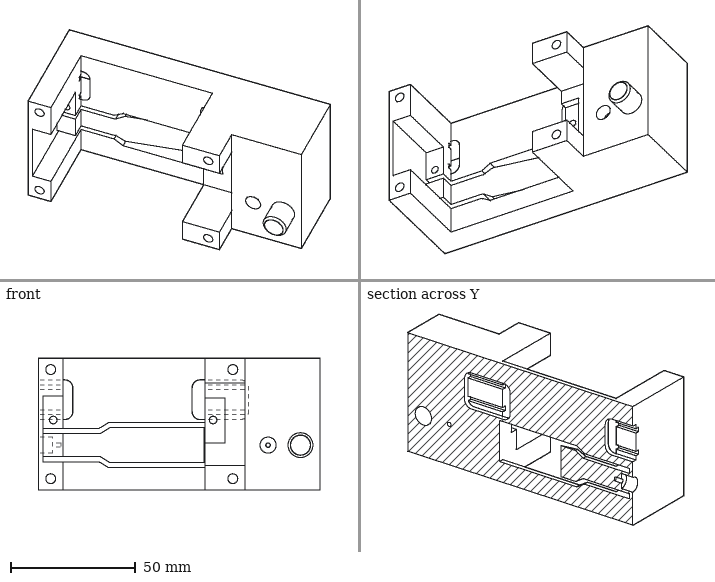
import cadquery as cq


LENGTH = 113
DEPTH = 44.0
HEIGHT = 53.0
PLATE_REACH = 12.0
ARM_WIDTH = 10.0
BLOCK_LEFT = 66.8
BLOCK_RIGHT = 82.8
END_REACH = 31.0

RECESS_REACH = 21.2
POCKET_REACH = 18.0
SIDE_WALL = 1.9
LEFT_POCKET_TOP = 37.9
RIGHT_POCKET_RIGHT = 74.9
RIGHT_POCKET_BOTTOM = 18.9
RIGHT_POCKET_TOP = 37.0

WINDOW_WIDTH = 22.6
WINDOW_HEIGHT = 15.8
WINDOW_CORNER = 3.2
WINDOW_Z = 36.3
LEFT_WINDOW_INNER = 13.8
RIGHT_WINDOW_INNER = 61.7
SNAP_WIDTH = 1.9
SNAP_SPACING = 10.1
SNAP_DEPTH = 1.7

AXIS_Z = 18.1
CHANNEL_FLOOR_REACH = 2.0
NARROW_HALF = 6.7
WIDE_HALF = 9
NECK_START = 24.3
NECK_END = 28.1
RIM_GAP = 2.0
NECK_SHIFT = 0.6
TONGUE_END = 66.5
TONGUE_LOW_REACH = 6.8
SLOPE_START = 24.0
SLOPE_END = 55.8

CORNER_SCREW_XS = (5.0, 78)
CORNER_SCREW_INSET = 4.6
CORNER_SCREW_DIAMETER = 4.0
CORNER_SCREW_DEPTH = 10.2
POCKET_SCREW_XS = (6.0, 70.1)
POCKET_SCREW_Z = 28.1
POCKET_SCREW_DIAMETER = 3.0
POCKET_SCREW_DEPTH = 2.8
DRILL_POINT_RATIO = 0.3

BORE_DIAMETER = 6.4
BORE_DEPTH = 5.6
PILOT_DIAMETER = 1.7
FRONT_BORE_X = 92.1
SIDE_BORE_REACH = 10.0
SIDE_PILOT_DEPTH = 3.4

TUBE_X = 105.1
TUBE_REACH = 40.9
TUBE_DIAMETER = 10.0
TUBE_BORE = 7.9
TUBE_CHAMFER = 0.9


def at_reach(reach):
    """Workplane parallel to the back face, extruding toward the front."""
    return cq.Workplane("XZ", origin=(0, -reach, 0))


def block(x_range, reach_range, z_range):
    """Box given by its limits along X, in reach and along Z."""
    (x0, x1), (r0, r1), (z0, z1) = x_range, reach_range, z_range
    corners = [(x0, z0), (x1, z0), (x1, z1), (x0, z1)]
    return at_reach(r0).polyline(corners).close().extrude(r1 - r0)


def body():
    """Back plate with the left arm, the right block and the thick right end."""
    outline = [
        (0, 0),
        (LENGTH, 0),
        (LENGTH, -END_REACH),
        (BLOCK_RIGHT, -END_REACH),
        (BLOCK_RIGHT, -DEPTH),
        (BLOCK_LEFT, -DEPTH),
        (BLOCK_LEFT, -PLATE_REACH),
        (ARM_WIDTH, -PLATE_REACH),
        (ARM_WIDTH, -DEPTH),
        (0, -DEPTH),
    ]
    return cq.Workplane("XY").polyline(outline).close().extrude(HEIGHT)


def arm_pockets():
    """Recess that forks the right block, with a deeper step, and the pocket in the left arm."""
    recess = block(
        (BLOCK_LEFT, BLOCK_RIGHT), (RECESS_REACH, DEPTH), (ARM_WIDTH, HEIGHT - ARM_WIDTH)
    )
    right_step = block(
        (BLOCK_LEFT, RIGHT_POCKET_RIGHT),
        (POCKET_REACH, RECESS_REACH),
        (RIGHT_POCKET_BOTTOM, RIGHT_POCKET_TOP),
    )
    left_pocket = block(
        (SIDE_WALL, ARM_WIDTH), (POCKET_REACH, DEPTH), (AXIS_Z - NARROW_HALF, LEFT_POCKET_TOP)
    )
    return recess.union(right_step).union(left_pocket)


def window(x):
    """Rounded opening centred on x, with two snap grooves just in front of the plate."""

    def prism(length):
        return (
            at_reach(0).center(x, WINDOW_Z).rect(WINDOW_WIDTH, WINDOW_HEIGHT)
            .extrude(length).edges("|Y").fillet(WINDOW_CORNER)
        )

    snap_front = PLATE_REACH + SNAP_DEPTH
    grooves = (
        at_reach(PLATE_REACH).center(x, WINDOW_Z).rarray(1.1, SNAP_SPACING, 1, 2)
        .rect(WINDOW_WIDTH, SNAP_WIDTH).extrude(SNAP_DEPTH)
        .intersect(prism(snap_front))
    )
    return prism(PLATE_REACH).union(grooves)


def stepped_prism(inset, neck_shift, right_end, reach_range):
    """Bottle-shaped prism about the channel axis, narrow on the left and wide on the right."""
    narrow = NARROW_HALF - inset
    wide = WIDE_HALF - inset
    upper = [
        (SIDE_WALL, narrow),
        (NECK_START + neck_shift, narrow),
        (NECK_END + neck_shift, wide),
        (right_end, wide),
    ]
    lower = [(x, -z) for x, z in reversed(upper)]
    start, end = reach_range
    return at_reach(start).center(0, AXIS_Z).polyline(upper + lower).close().extrude(end - start)


def channel():
    """Channel around the tongue; inside the left arm it opens into the arm pocket."""
    return stepped_prism(0, 0, BLOCK_LEFT, (CHANNEL_FLOOR_REACH, POCKET_REACH))


def tongue():
    """Tongue rising from the channel floor, its front sloping down toward the right."""
    profile = [
        (SIDE_WALL, -CHANNEL_FLOOR_REACH),
        (TONGUE_END, -CHANNEL_FLOOR_REACH),
        (TONGUE_END, -TONGUE_LOW_REACH),
        (SLOPE_END, -TONGUE_LOW_REACH),
        (SLOPE_START, -PLATE_REACH),
        (ARM_WIDTH, -PLATE_REACH),
        (ARM_WIDTH, -POCKET_REACH),
        (SIDE_WALL, -POCKET_REACH),
    ]
    side_shape = cq.Workplane("XY").polyline(profile).close().extrude(HEIGHT)
    front_shape = stepped_prism(RIM_GAP, NECK_SHIFT, TONGUE_END, (CHANNEL_FLOOR_REACH, POCKET_REACH))
    return side_shape.intersect(front_shape)


def drilled_hole(x, z, reach, diameter, depth):
    """Blind hole drilled from the given reach toward the back, ending in a cone."""
    radius = diameter / 2
    bottom = depth + DRILL_POINT_RATIO * diameter
    return (
        cq.Workplane("XY", origin=(x, -reach, z))
        .polyline([(0, 0), (radius, 0), (radius, depth), (0, bottom)]).close()
        .revolve(360, (0, 0), (0, 1))
    )


def counterbores():
    """Front hole through the right end and blind side hole in the left arm."""
    front_pilot = (
        at_reach(0).center(FRONT_BORE_X, AXIS_Z).circle(PILOT_DIAMETER / 2).extrude(END_REACH)
    )
    front_bore = (
        at_reach(END_REACH - BORE_DEPTH).center(FRONT_BORE_X, AXIS_Z)
        .circle(BORE_DIAMETER / 2).extrude(BORE_DEPTH)
    )
    side_plane = cq.Workplane("YZ").center(-SIDE_BORE_REACH, AXIS_Z)
    side_bore = side_plane.circle(BORE_DIAMETER / 2).extrude(BORE_DEPTH)
    side_pilot = side_plane.circle(PILOT_DIAMETER / 2).extrude(BORE_DEPTH + SIDE_PILOT_DEPTH)
    return front_pilot.union(front_bore).union(side_bore).union(side_pilot)


def tube():
    """Tube standing on the front of the right end, chamfered at its tip."""
    return (
        at_reach(END_REACH).center(TUBE_X, AXIS_Z).circle(TUBE_DIAMETER / 2)
        .extrude(TUBE_REACH - END_REACH).faces("<Y").chamfer(TUBE_CHAMFER)
    )


result = body().cut(arm_pockets()).cut(channel()).union(tongue()).union(tube())

for window_x in (LEFT_WINDOW_INNER - WINDOW_WIDTH / 2, RIGHT_WINDOW_INNER + WINDOW_WIDTH / 2):
    result = result.cut(window(window_x))

for screw_x in CORNER_SCREW_XS:
    for screw_z in (CORNER_SCREW_INSET, HEIGHT - CORNER_SCREW_INSET):
        result = result.cut(
            drilled_hole(screw_x, screw_z, DEPTH, CORNER_SCREW_DIAMETER, CORNER_SCREW_DEPTH)
        )

for screw_x in POCKET_SCREW_XS:
    result = result.cut(
        drilled_hole(screw_x, POCKET_SCREW_Z, POCKET_REACH, POCKET_SCREW_DIAMETER, POCKET_SCREW_DEPTH)
    )

result = result.cut(counterbores())
result = result.cut(at_reach(0).center(TUBE_X, AXIS_Z).circle(TUBE_BORE / 2).extrude(TUBE_REACH))